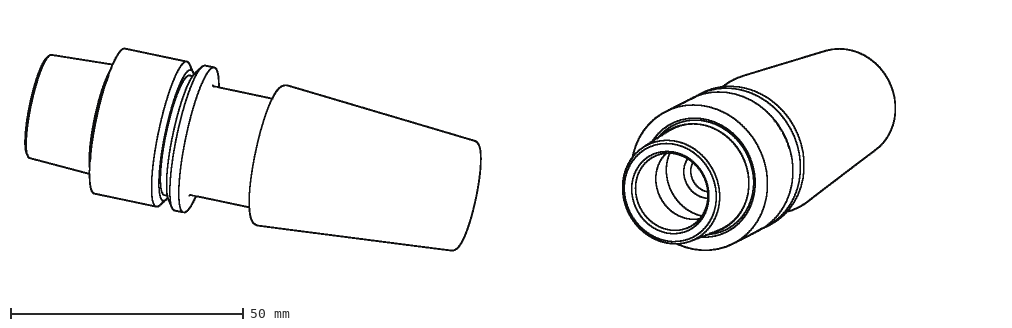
import cadquery as cq
import math


total_length = 95.9
gauge_length = 80.0
flange_width = 20.0
flange_face = total_length - gauge_length
flange_end = flange_face + flange_width

shank_mouth_radius = 11.37
taper_ratio = 1 / 10
mouth_edge_length = 0.45
mouth_edge_drop = 0.6
taper_end = 14.75
shank_end_radius = shank_mouth_radius + taper_end * taper_ratio / 2

relief_radius = 12.0
relief_depth = 0.3
relief_fillet = 0.6
relief_outer_radius = 13.1
relief_lead = 0.3

flange_radius = 16.0
groove_bottom_radius = 13.2
groove_flank_foot_radius = 14.4
groove_start = 29.8
groove_end = 33.9
groove_flank_run = 1.2

neck_radius = 12.0
neck_fillet = 0.8

body_start = 51.2
body_draft = math.radians(4.5)
nose_radius = 12.05
body_length = total_length - body_start
body_back_radius = nose_radius + body_length * math.tan(body_draft)
body_edge_fillet = 1.2
nose_fillet = 1.1

bore_radius = 8.5
bore_mouth_radius = 9.05
bore_mouth_chamfer = 0.8
bore_taper_end = 5.9
bore_land_radius = 8.2
bore_land_end = 11.2
clamp_recess_radius = 9.5
bore_depth = 20.0

coolant_hole_radius = 4.25
countersink_radius = 5.4
coolant_hole_depth = 10.0


def fillet_circle(solid, x, radius, size):
    """Round the circular edge of the given radius at position x."""
    margin = 0.05
    outer = radius + margin
    inner = radius - margin
    ring = cq.selectors.BoxSelector((x - margin, -outer, -outer), (x + margin, outer, outer), boundingbox=True)
    hub = cq.selectors.BoxSelector((x - margin, -inner, -inner), (x + margin, inner, inner), boundingbox=True)
    return solid.edges(ring - hub).fillet(size)


def revolve_about_x(outline):
    """Turn an open (x, radius) outline, closed along the axis, about the X axis."""
    return outline.close().revolve(360, (0, 0, 0), (1, 0, 0))


def make_body():
    mouth_edge_radius = shank_mouth_radius + mouth_edge_length * taper_ratio / 2
    relief_wall = flange_face + relief_depth
    arc_center_x = relief_wall - relief_fillet
    arc_center_radius = relief_radius + relief_fillet
    arc_offset = relief_fillet * math.sqrt(0.5)
    shank_points = [
        (0, 0),
        (0, mouth_edge_radius - mouth_edge_drop),
        (mouth_edge_length, mouth_edge_radius),
        (taper_end, shank_end_radius),
        (taper_end + relief_lead, relief_radius),
        (arc_center_x, relief_radius),
    ]
    relief_arc_middle = (arc_center_x + arc_offset, arc_center_radius - arc_offset)
    relief_arc_end = (relief_wall, arc_center_radius)
    flange_and_chuck_points = [
        (flange_face, relief_outer_radius),
        (flange_face, flange_radius),
        (groove_start, flange_radius),
        (groove_start + groove_flank_run, groove_flank_foot_radius),
        (groove_start + groove_flank_run, groove_bottom_radius),
        (groove_end - groove_flank_run, groove_bottom_radius),
        (groove_end - groove_flank_run, groove_flank_foot_radius),
        (groove_end, flange_radius),
        (flange_end, flange_radius),
        (flange_end, neck_radius),
        (body_start, neck_radius),
        (body_start, body_back_radius),
        (total_length, nose_radius),
        (total_length, 0),
    ]
    outline = cq.Workplane("XY").polyline(shank_points)
    outline = outline.threePointArc(relief_arc_middle, relief_arc_end)
    outline = outline.polyline(flange_and_chuck_points, includeCurrent=True)
    body = revolve_about_x(outline)
    body = fillet_circle(body, flange_end, neck_radius, neck_fillet)
    body = fillet_circle(body, body_start, neck_radius, neck_fillet)
    body = fillet_circle(body, body_start, body_back_radius, body_edge_fillet)
    return fillet_circle(body, total_length, nose_radius, nose_fillet)


def make_bore():
    countersink_depth = countersink_radius - coolant_hole_radius
    hole_bottom = bore_depth + coolant_hole_depth
    outline = cq.Workplane("XY").polyline([
        (0, 0),
        (0, bore_mouth_radius),
        (bore_mouth_chamfer, bore_radius),
        (bore_taper_end, bore_land_radius),
        (bore_land_end, bore_land_radius),
        (bore_land_end, clamp_recess_radius),
        (bore_depth, clamp_recess_radius),
        (bore_depth, countersink_radius),
        (bore_depth + countersink_depth, coolant_hole_radius),
        (hole_bottom, coolant_hole_radius),
        (hole_bottom, 0),
    ])
    return revolve_about_x(outline)


result = make_body().cut(make_bore())